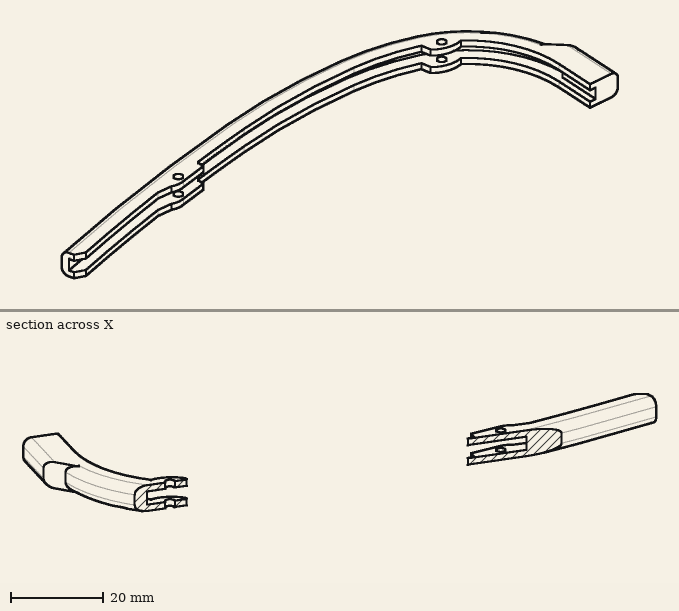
import cadquery as cq
import math


THICKNESS = 6.2
RAIL_WIDTH = 4.9
EDGE_RADIUS = 1.9

RAIL_ARCS = [(31.09, 70.01), (62.95, 17.38), (156.99, 12.70), (534.18, 6.567)]
HEAD_DIRECTION = 180.0
TAIL_TURN = math.radians(sum(sweep for _, sweep in RAIL_ARCS) - 90.0)

HEAD_LENGTH = 10.3
HEAD_WIDTH = 8.0
SHOULDER_X = -2.5
SHOULDER_DROP = 6.0

TAIL_CUT_ACROSS = 1.7
TAIL_CUT_ALONG = 2.1
CUT_OVERRUN = 1.0

SLOT_HEIGHT = 3.0
SLOT_BACK_WALL = 1.9
SLOT_REACH = 4.0
HEAD_SLOT_DEPTH = 1.6
HEAD_SLOT_START_X = -0.6
HEAD_SLOT_STEP_LENGTH = 1.7

UPPER_LUG_APPROACH = [(-23.0, -10.5), (-20.8, -9.8)]
UPPER_LUG_NOSE = (-20.5, -13.4)
UPPER_LUG_DEPARTURE = [(-22.4, -17.4), (-25.1, -18.0), (-27.0, -18.0)]
LOWER_LUG_APPROACH = [(-24.5, -83.0), (-23.3, -83.0), (-22.6, -84.0), (-20.8, -84.0), (-19.3, -91.0)]
LOWER_LUG_NOSE = (-19.1, -92.6)
LOWER_LUG_DEPARTURE = [(-19.5, -94.3), (-19.6, -98.3), (-21.5, -98.3)]

HOLE_DIAMETER = 2.1
UPPER_HOLE = (-23.05, -13.65)
LOWER_HOLE = (-21.35, -90.7)


def rail_point(distance, offset):
    """Point at a distance counted in arcs from the head, moved inward from the outer edge by the offset."""
    heading = math.radians(HEAD_DIRECTION)
    x, y = 0.0, RAIL_WIDTH
    for index, (radius, sweep) in enumerate(RAIL_ARCS):
        center_x = x - radius * math.sin(heading)
        center_y = y + radius * math.cos(heading)
        share = min(max(distance - index, 0.0), 1.0)
        heading += math.radians(sweep) * share
        x = center_x + radius * math.sin(heading)
        y = center_y - radius * math.cos(heading)
    return (x - offset * math.sin(heading), y + offset * math.cos(heading))


def plate(outline, height):
    """Close an outline and extrude it evenly about Z = 0."""
    return outline.close().extrude(height / 2, both=True)


def ribbon(near, far, height):
    """Curved strip between two inward offsets from the rail's outer edge."""
    arc_count = len(RAIL_ARCS)
    outline = cq.Workplane("XY").moveTo(*rail_point(0, near))
    for index in range(arc_count):
        outline = outline.threePointArc(rail_point(index + 0.5, near), rail_point(index + 1, near))
    outline = outline.lineTo(*rail_point(arc_count, far))
    for index in reversed(range(arc_count)):
        outline = outline.threePointArc(rail_point(index + 0.5, far), rail_point(index, far))
    return plate(outline, height)


def make_rail():
    """Curved rail with both long outer edges rounded."""
    rail = ribbon(0.0, RAIL_WIDTH, THICKNESS)
    return rail.faces("<X").edges("not |Z").fillet(EDGE_RADIUS)


def make_head():
    """Straight block with a sloping shoulder and rounded outer edges."""
    outline = (
        cq.Workplane("XY")
        .lineTo(HEAD_LENGTH, 0)
        .lineTo(HEAD_LENGTH, HEAD_WIDTH)
        .lineTo(SHOULDER_X, HEAD_WIDTH)
        .lineTo(SHOULDER_X - SHOULDER_DROP, HEAD_WIDTH - SHOULDER_DROP)
    )
    return plate(outline, THICKNESS).faces(">Y").edges("|X").fillet(EDGE_RADIUS)


def make_lug(approach, nose_middle, departure):
    """Lug plate whose first and last points lie inside the rail, with an arc for its nose."""
    outline = cq.Workplane("XY").polyline(approach)
    outline = outline.threePointArc(nose_middle, departure[0])
    for point in departure[1:]:
        outline = outline.lineTo(*point)
    return plate(outline, THICKNESS)


def make_slot():
    """Slot open to the inner edge, deep along the rail and shallow along the head."""
    curved = ribbon(SLOT_BACK_WALL, RAIL_WIDTH + SLOT_REACH, SLOT_HEIGHT)
    floor_y = RAIL_WIDTH - SLOT_BACK_WALL
    step = plate(
        cq.Workplane("XY")
        .moveTo(HEAD_SLOT_START_X, HEAD_SLOT_DEPTH)
        .lineTo(HEAD_SLOT_START_X - HEAD_SLOT_STEP_LENGTH, floor_y)
        .lineTo(HEAD_LENGTH, floor_y)
        .lineTo(HEAD_LENGTH, HEAD_SLOT_DEPTH),
        SLOT_HEIGHT,
    )
    straight = plate(
        cq.Workplane("XY")
        .moveTo(0, -SLOT_REACH)
        .lineTo(HEAD_LENGTH, -SLOT_REACH)
        .lineTo(HEAD_LENGTH, HEAD_SLOT_DEPTH)
        .lineTo(0, HEAD_SLOT_DEPTH),
        SLOT_HEIGHT,
    )
    return curved.cut(step).union(straight)


def make_tail_cut():
    """Wedge that takes the inner corner off the tail."""
    corner_x, corner_y = rail_point(len(RAIL_ARCS), RAIL_WIDTH)
    past_edge = TAIL_CUT_ACROSS * CUT_OVERRUN
    past_end = TAIL_CUT_ALONG * CUT_OVERRUN
    frame = cq.Plane(
        origin=(corner_x, corner_y, 0),
        xDir=(math.cos(TAIL_TURN), math.sin(TAIL_TURN), 0),
        normal=(0, 0, 1),
    )
    outline = (
        cq.Workplane(frame)
        .moveTo(past_edge, TAIL_CUT_ALONG + past_end)
        .lineTo(-TAIL_CUT_ACROSS - past_edge, -past_end)
        .lineTo(past_edge, -past_end)
    )
    return plate(outline, THICKNESS + CUT_OVERRUN)


def make_holes():
    return (
        cq.Workplane("XY")
        .pushPoints([UPPER_HOLE, LOWER_HOLE])
        .circle(HOLE_DIAMETER / 2)
        .extrude(THICKNESS, both=True)
    )


upper_lug = make_lug(UPPER_LUG_APPROACH, UPPER_LUG_NOSE, UPPER_LUG_DEPARTURE)
lower_lug = make_lug(LOWER_LUG_APPROACH, LOWER_LUG_NOSE, LOWER_LUG_DEPARTURE)
body = make_rail().union(make_head()).union(upper_lug).union(lower_lug)
result = body.cut(make_slot()).cut(make_tail_cut()).cut(make_holes())